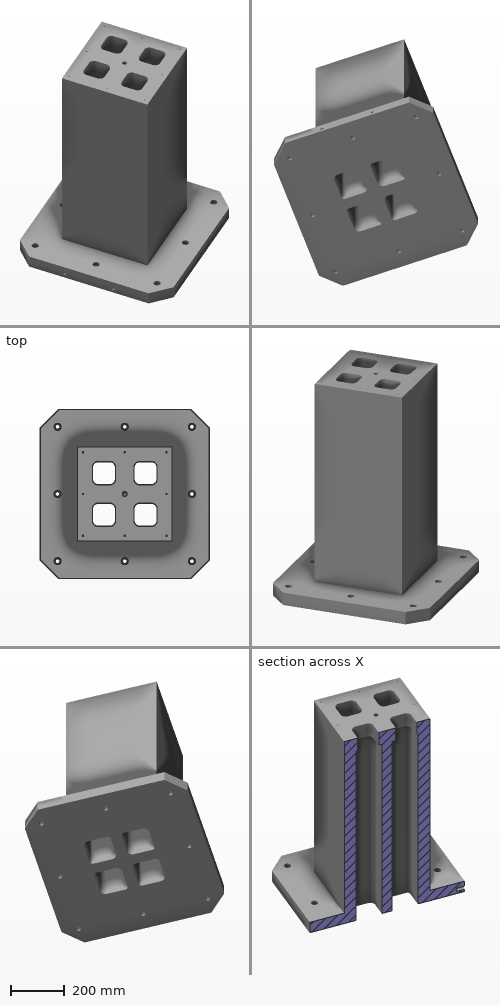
import cadquery as cq
import math

plate_side = 630.0
plate_thickness = 50.0
plate_corner_chamfer = 70.0

total_height = 850.0
column_side = 350.0
column_height = total_height - plate_thickness

window_side = 85.0
window_pitch = 155.0
window_corner_radius = 20.0
top_wall = 60.0

hollow_side = 250.0
hollow_corner_radius = 20.0
rib_thickness = 42.5
rib_end_radius = 10.0
rib_crossing_radius = 20.0
hollow_height = total_height - top_wall

mounting_pitch = 250.0
mounting_diameter = 18.0
counterbore_diameter = 26.0
counterbore_depth = 18.0

top_hole_span = 310.0
top_hole_pitch = top_hole_span / 2
top_hole_diameter = 5.0
top_hole_depth = 15.0

centre_hole_diameter = 18.0
centre_hole_depth = 34.0

edge_hole_diameter = 14.0
edge_hole_depth = 30.0
edge_hole_spacing = 200.0
edge_hole_height = 19.0

drill_point_angle = 118.0


def ring_of_eight(pitch):
    """Corners and side middles of a square centred on the axis."""
    steps = (-pitch, 0, pitch)
    return [(x, y) for x in steps for y in steps if (x, y) != (0, 0)]


def drilled_hole(diameter, depth, mouth, direction):
    """Blind hole cutter with a conical drill point; depth is the straight part."""
    radius = diameter / 2
    point_length = radius / math.tan(math.radians(drill_point_angle / 2))
    mouth = cq.Vector(*mouth)
    direction = cq.Vector(*direction)
    straight = cq.Solid.makeCylinder(radius, depth, mouth, direction)
    point = cq.Solid.makeCone(radius, 0, point_length, mouth + direction * depth, direction)
    return cq.Workplane(straight).union(cq.Workplane(point))


def make_plate():
    plate = cq.Workplane().box(plate_side, plate_side, plate_thickness, centered=(True, True, False))
    plate = plate.edges("|Z").chamfer(plate_corner_chamfer)
    return (
        plate.faces(">Z").workplane()
        .pushPoints(ring_of_eight(mounting_pitch))
        .cboreHole(mounting_diameter, counterbore_diameter, counterbore_depth)
    )


def make_column():
    return (
        cq.Workplane().workplane(offset=plate_thickness)
        .rect(column_side, column_side)
        .extrude(column_height)
    )


def make_windows():
    return (
        cq.Workplane().workplane(offset=hollow_height)
        .rarray(window_pitch, window_pitch, 2, 2)
        .rect(window_side, window_side)
        .extrude(top_wall)
        .edges("|Z").fillet(window_corner_radius)
    )


def make_cell():
    """Hollow quarter on the +X +Y side of the ribs, open at the underside."""
    inner = rib_thickness / 2
    side = hollow_side / 2 - inner
    cell = cq.Workplane().box(side, side, hollow_height, centered=False)
    corners = (
        (0, 0, rib_crossing_radius),
        (side, side, hollow_corner_radius),
        (side, 0, rib_end_radius),
        (0, side, rib_end_radius),
    )
    for x, y, radius in corners:
        corner = cq.selectors.NearestToPointSelector((x, y, hollow_height / 2))
        cell = cell.edges(corner).fillet(radius)
    return cell.translate((inner, inner, 0))


result = make_plate().union(make_column()).cut(make_windows())

for quarter in range(4):
    result = result.cut(make_cell().rotate((0, 0, 0), (0, 0, 1), 90 * quarter))

down = (0, 0, -1)

for x, y in ring_of_eight(top_hole_pitch):
    mouth = (x, y, total_height)
    result = result.cut(drilled_hole(top_hole_diameter, top_hole_depth, mouth, down))

centre_mouth = (0, 0, total_height)
result = result.cut(drilled_hole(centre_hole_diameter, centre_hole_depth, centre_mouth, down))

inward = (0, 1, 0)

for x in (-edge_hole_spacing / 2, edge_hole_spacing / 2):
    mouth = (x, -plate_side / 2, edge_hole_height)
    result = result.cut(drilled_hole(edge_hole_diameter, edge_hole_depth, mouth, inward))